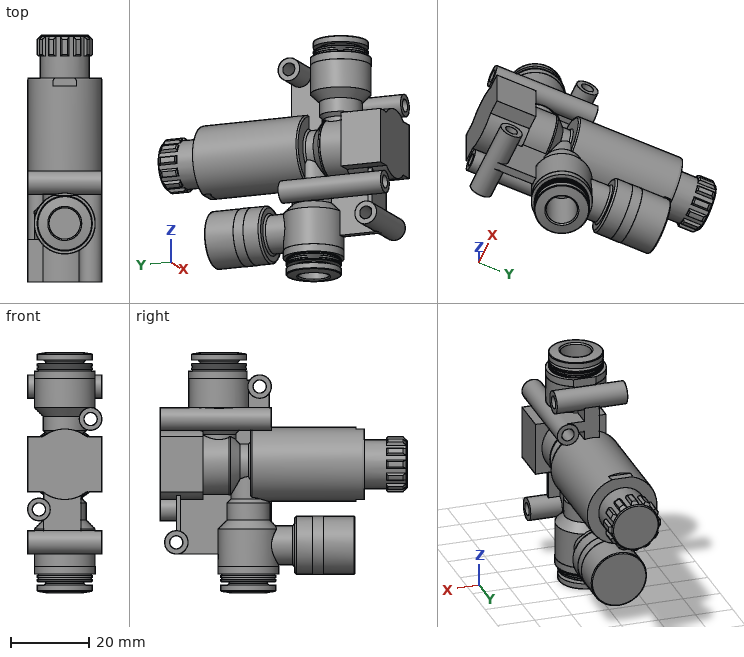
import cadquery as cq
import math

WIDTH = 19.0
LENGTH = 63.1
HEIGHT = 61.49
UPPER_TIP_Z = 28.6
LOWER_TIP_Z = UPPER_TIP_Z - HEIGHT

BLOCK_DEPTH = 10.9
BLOCK_HALF_HEIGHT = 7.05
BULGE_RADIUS = 9.0
BODY_RADIUS = 15.5 / 2
COLLAR_RADIUS = 7.9
COLLAR_FRONT_Y = 17.55
COLLAR_BACK_Y = 17.95
NECK_RADIUS = 5.5

BARREL_RADIUS = WIDTH / 2
BARREL_FRONT_Y = 23.0
BARREL_BACK_Y = 52.15
BARREL_FRONT_CHAMFER = 0.4
NECK_FLARE = 0.5
LIP_LENGTH = 0.6
LIP_DROP = 0.1
NOTCH_LENGTH = 2.1
NOTCH_FLAT_Z = 9.03

KNOB_RADIUS = 12.6 / 2
KNOB_CHAMFER = 0.3
GRIP_RADIUS = 14.1 / 2
GRIP_LENGTH = 5.3
GRIP_BACK_CHAMFER = 1.1
GRIP_FRONT_CHAMFER = 0.35
RIB_COUNT = 12
RIB_ROOT_WIDTH = 2.1
RIB_TOP_WIDTH = 1.4

UPPER_PORT_Y = 15.0
LOWER_PORT_Y = 22.5
FLANGE_RADIUS = 14.1 / 2
FLANGE_CORNER = 0.2
FLANGE_DOME = 0.4
FLANGE_DEPTH = 2.0
SLEEVE_RADIUS = 9.8 / 2
SLEEVE_FLARE = 0.45
RING_START = 2.85
RING_THICKNESS = 0.6
RING_BEVEL = 0.2
RING_GROOVE_RADIUS = 6.82
THIN_RING_START = 4.0
THIN_RING_THICKNESS = 0.45
PORT_CAP_START = 4.8
PORT_CAP_RADIUS = 7.8
PORT_CAP_END = 6.75
PORT_BODY_RADIUS = 15.5 / 2
STEM_RADIUS = 11.0 / 2
STEM_ROOT_RADIUS = 9.0 / 2
PORT_BORE_RADIUS = 8.0 / 2
BORE_CHAMFER = 0.35
PORT_BORE_DEPTH = 14.0
UPPER_BODY_BASE_Z = 14.45
UPPER_STEM_BASE_Z = 8.6
LOWER_BODY_BASE_Z = -16.5
LOWER_STEM_BASE_Z = -9.85
RELIEF_OFFSET = 7.2
RELIEF_Y = UPPER_PORT_Y + RELIEF_OFFSET
RELIEF_Z = 21.5

PLUG_Z = -20.7
PLUG_RADIUS = 14.9 / 2
PLUG_BAND_RADIUS = 15.0 / 2
PLUG_FRONT_Y = 34.3
PLUG_BAND_FRONT_Y = 38.95
PLUG_BAND_BACK_Y = 41.7
PLUG_BACK_Y = 49.75
PLUG_FRONT_CHAMFER = 0.5
PLUG_BACK_CHAMFER = 0.25
PLUG_STEM_RADIUS = 10.0 / 2
PLUG_STEM_FLARE = 0.5

TUBE_BORE_RADIUS = 3.3 / 2
LONG_TUBE_RADIUS = 5.8 / 2
LONG_TUBE_LENGTH = 28.4
LONG_TUBE_X = WIDTH / 2 - LONG_TUBE_RADIUS
LONG_TUBE_Z = 11.55
CROSS_TUBE_RADIUS = 6.0 / 2
UPPER_TUBE_Y = 25.4
UPPER_TUBE_Z = 19.85
LOWER_TUBE_Y = 4.1
LOWER_TUBE_Z = -19.95

UPPER_WEB_HALF_THICKNESS = 2.0
UPPER_WEB_BACK_Y = 27.85
LOWER_WEB_HALF_THICKNESS = 1.0
WALL_LEFT_X = -5.4
WALL_RIGHT_X = 4.1
WALL_BACK_Y = 5.15


def turned_about_y(profile, z=0.0):
    """Revolve (radius, y) points about the line X = 0 at height z."""
    outline = cq.Workplane("XY").polyline(profile).close()
    return outline.revolve(360, (0, 0, 0), (0, 1, 0)).translate((0, 0, z))


def turned_about_z(profile, y):
    """Revolve (radius, z) points about the vertical line X = 0 at depth y."""
    outline = cq.Workplane("XZ").polyline(profile).close()
    return outline.revolve(360, (0, 0, 0), (0, 1, 0)).translate((0, y, 0))


def box_between(x0, x1, y0, y1, z0, z1):
    box = cq.Workplane("XY").box(x1 - x0, y1 - y0, z1 - z0, centered=False)
    return box.translate((x0, y0, z0))


def rod_along_y(radius, x, z):
    rod = cq.Solid.makeCylinder(radius, LONG_TUBE_LENGTH, cq.Vector(x, 0, z), cq.Vector(0, 1, 0))
    return cq.Workplane(rod)


def rod_along_x(radius, y, z):
    rod = cq.Solid.makeCylinder(radius, WIDTH, cq.Vector(-WIDTH / 2, y, z), cq.Vector(1, 0, 0))
    return cq.Workplane(rod)


def front_block():
    half_width = WIDTH / 2
    block = box_between(
        -half_width, half_width, 0, BLOCK_DEPTH, -BLOCK_HALF_HEIGHT, BLOCK_HALF_HEIGHT
    )
    bulge = turned_about_y([(0, 0), (BULGE_RADIUS, 0), (BULGE_RADIUS, BLOCK_DEPTH), (0, BLOCK_DEPTH)])
    return block.union(bulge)


def body_and_barrel():
    cone_back_y = COLLAR_BACK_Y + COLLAR_RADIUS - NECK_RADIUS
    barrel = turned_about_y([
        (0, 0),
        (BODY_RADIUS, 0),
        (BODY_RADIUS, COLLAR_FRONT_Y),
        (COLLAR_RADIUS, COLLAR_FRONT_Y),
        (COLLAR_RADIUS, COLLAR_BACK_Y),
        (NECK_RADIUS, cone_back_y),
        (NECK_RADIUS, BARREL_FRONT_Y - NECK_FLARE),
        (NECK_RADIUS + NECK_FLARE, BARREL_FRONT_Y),
        (BARREL_RADIUS - BARREL_FRONT_CHAMFER, BARREL_FRONT_Y),
        (BARREL_RADIUS, BARREL_FRONT_Y + BARREL_FRONT_CHAMFER),
        (BARREL_RADIUS, BARREL_BACK_Y - LIP_LENGTH),
        (BARREL_RADIUS - LIP_DROP, BARREL_BACK_Y),
        (0, BARREL_BACK_Y),
    ])
    for side in (1, -1):
        z_edges = sorted((side * NOTCH_FLAT_Z, side * WIDTH))
        notch = box_between(
            -WIDTH, WIDTH, BARREL_BACK_Y - NOTCH_LENGTH, BARREL_BACK_Y, z_edges[0], z_edges[1]
        )
        barrel = barrel.cut(notch)
    return barrel


def knob():
    core = turned_about_y([
        (0, BARREL_BACK_Y),
        (KNOB_RADIUS, BARREL_BACK_Y),
        (KNOB_RADIUS, LENGTH - KNOB_CHAMFER),
        (KNOB_RADIUS - KNOB_CHAMFER, LENGTH),
        (0, LENGTH),
    ])
    grip_front_y = LENGTH - GRIP_LENGTH
    grip_ring = turned_about_y([
        (0, grip_front_y),
        (GRIP_RADIUS - GRIP_FRONT_CHAMFER, grip_front_y),
        (GRIP_RADIUS, grip_front_y + GRIP_FRONT_CHAMFER),
        (GRIP_RADIUS, LENGTH - GRIP_BACK_CHAMFER),
        (GRIP_RADIUS - GRIP_BACK_CHAMFER, LENGTH),
        (0, LENGTH),
    ])
    root_height = math.sqrt(KNOB_RADIUS**2 - (RIB_ROOT_WIDTH / 2) ** 2)
    rib_section = [
        (0, 0),
        (RIB_ROOT_WIDTH / 2, root_height),
        (RIB_TOP_WIDTH / 2, GRIP_RADIUS),
        (-RIB_TOP_WIDTH / 2, GRIP_RADIUS),
        (-RIB_ROOT_WIDTH / 2, root_height),
    ]
    rib_bar = (
        cq.Workplane("XZ", origin=(0, LENGTH, 0)).polyline(rib_section).close().extrude(GRIP_LENGTH)
    )
    rib = rib_bar.intersect(grip_ring)
    for index in range(RIB_COUNT):
        core = core.union(rib.rotate((0, 0, 0), (0, 1, 0), index * 360 / RIB_COUNT))
    return core


def port(y, tip_z, body_base_z, stem_base_z):
    """Solid port whose tip points away from the barrel axis."""
    inward = -math.copysign(1, tip_z)

    def level(depth):
        return tip_z + inward * depth

    body_base = abs(tip_z - body_base_z)
    stem_base = abs(tip_z - stem_base_z)
    ring_end = RING_START + RING_THICKNESS
    thin_ring_end = THIN_RING_START + THIN_RING_THICKNESS
    steps = [
        (0, 0),
        (PORT_BORE_RADIUS + BORE_CHAMFER, 0),
        (FLANGE_RADIUS - FLANGE_CORNER, FLANGE_DOME),
        (FLANGE_RADIUS, FLANGE_DOME + FLANGE_CORNER),
        (FLANGE_RADIUS, FLANGE_DEPTH),
        (SLEEVE_RADIUS + SLEEVE_FLARE, FLANGE_DEPTH),
        (SLEEVE_RADIUS, FLANGE_DEPTH + SLEEVE_FLARE),
        (SLEEVE_RADIUS, RING_START),
        (FLANGE_RADIUS - RING_BEVEL, RING_START),
        (FLANGE_RADIUS, RING_START + RING_BEVEL),
        (FLANGE_RADIUS, ring_end),
        (RING_GROOVE_RADIUS, ring_end),
        (RING_GROOVE_RADIUS, THIN_RING_START),
        (FLANGE_RADIUS, THIN_RING_START),
        (FLANGE_RADIUS, thin_ring_end),
        (RING_GROOVE_RADIUS, thin_ring_end),
        (RING_GROOVE_RADIUS, PORT_CAP_START),
        (PORT_CAP_RADIUS, PORT_CAP_START),
        (PORT_CAP_RADIUS, PORT_CAP_END),
        (PORT_BODY_RADIUS, PORT_CAP_END),
        (PORT_BODY_RADIUS, body_base),
        (STEM_RADIUS, body_base + PORT_BODY_RADIUS - STEM_RADIUS),
        (STEM_RADIUS, stem_base),
        (STEM_ROOT_RADIUS, stem_base + STEM_RADIUS - STEM_ROOT_RADIUS),
        (STEM_ROOT_RADIUS, abs(tip_z)),
        (0, abs(tip_z)),
    ]
    solid = turned_about_z([(radius, level(depth)) for radius, depth in steps], y)
    bore_steps = [
        (0, 0),
        (PORT_BORE_RADIUS + BORE_CHAMFER, 0),
        (PORT_BORE_RADIUS, BORE_CHAMFER),
        (PORT_BORE_RADIUS, PORT_BORE_DEPTH),
        (0, PORT_BORE_DEPTH),
    ]
    bore = turned_about_z([(radius, level(depth)) for radius, depth in bore_steps], y)
    return solid.cut(bore)


def upper_port():
    relief = box_between(-WIDTH, WIDTH, RELIEF_Y, LENGTH, RELIEF_Z, UPPER_TIP_Z)
    return port(UPPER_PORT_Y, UPPER_TIP_Z, UPPER_BODY_BASE_Z, UPPER_STEM_BASE_Z).cut(relief)


def lower_port():
    return port(LOWER_PORT_Y, LOWER_TIP_Z, LOWER_BODY_BASE_Z, LOWER_STEM_BASE_Z)


def side_plug():
    stem_start_y = LOWER_PORT_Y + PORT_BORE_RADIUS + BORE_CHAMFER
    return turned_about_y([
        (0, stem_start_y),
        (PLUG_STEM_RADIUS, stem_start_y),
        (PLUG_STEM_RADIUS, PLUG_FRONT_Y - PLUG_STEM_FLARE),
        (PLUG_STEM_RADIUS + PLUG_STEM_FLARE, PLUG_FRONT_Y),
        (PLUG_RADIUS - PLUG_FRONT_CHAMFER, PLUG_FRONT_Y),
        (PLUG_RADIUS, PLUG_FRONT_Y + PLUG_FRONT_CHAMFER),
        (PLUG_RADIUS, PLUG_BAND_FRONT_Y),
        (PLUG_BAND_RADIUS, PLUG_BAND_FRONT_Y),
        (PLUG_BAND_RADIUS, PLUG_BAND_BACK_Y),
        (PLUG_RADIUS, PLUG_BAND_BACK_Y),
        (PLUG_RADIUS, PLUG_BACK_Y - PLUG_BACK_CHAMFER),
        (PLUG_RADIUS - PLUG_BACK_CHAMFER, PLUG_BACK_Y),
        (0, PLUG_BACK_Y),
    ], PLUG_Z)


def webs():
    web_front_y = UPPER_PORT_Y + PORT_BORE_RADIUS + BORE_CHAMFER
    upper = box_between(
        -UPPER_WEB_HALF_THICKNESS, UPPER_WEB_HALF_THICKNESS,
        web_front_y, UPPER_WEB_BACK_Y, 0, UPPER_TUBE_Z,
    )
    shelf = box_between(
        0, LONG_TUBE_X, web_front_y, UPPER_WEB_BACK_Y, LONG_TUBE_Z, LONG_TUBE_Z + LONG_TUBE_RADIUS
    )
    web_back_y = LOWER_PORT_Y - PORT_BORE_RADIUS - BORE_CHAMFER
    lower = box_between(
        -LOWER_WEB_HALF_THICKNESS, LOWER_WEB_HALF_THICKNESS,
        LOWER_TUBE_Y, web_back_y, LOWER_TUBE_Z - CROSS_TUBE_RADIUS, 0,
    )
    wall = box_between(WALL_LEFT_X, WALL_RIGHT_X, LOWER_TUBE_Y, WALL_BACK_Y, LOWER_TUBE_Z, 0)
    return upper.union(shelf).union(lower).union(wall)


def mounting_rods(long_radius, cross_radius):
    """The four rods of the mounting tubes, as outer bodies or as bores."""
    rods = rod_along_y(long_radius, LONG_TUBE_X, LONG_TUBE_Z)
    rods = rods.union(rod_along_y(long_radius, -LONG_TUBE_X, -LONG_TUBE_Z))
    rods = rods.union(rod_along_x(cross_radius, UPPER_TUBE_Y, UPPER_TUBE_Z))
    return rods.union(rod_along_x(cross_radius, LOWER_TUBE_Y, LOWER_TUBE_Z))


result = front_block()
for feature in (body_and_barrel, knob, upper_port, lower_port, side_plug, webs):
    result = result.union(feature())
result = result.union(mounting_rods(LONG_TUBE_RADIUS, CROSS_TUBE_RADIUS))
result = result.cut(mounting_rods(TUBE_BORE_RADIUS, TUBE_BORE_RADIUS))